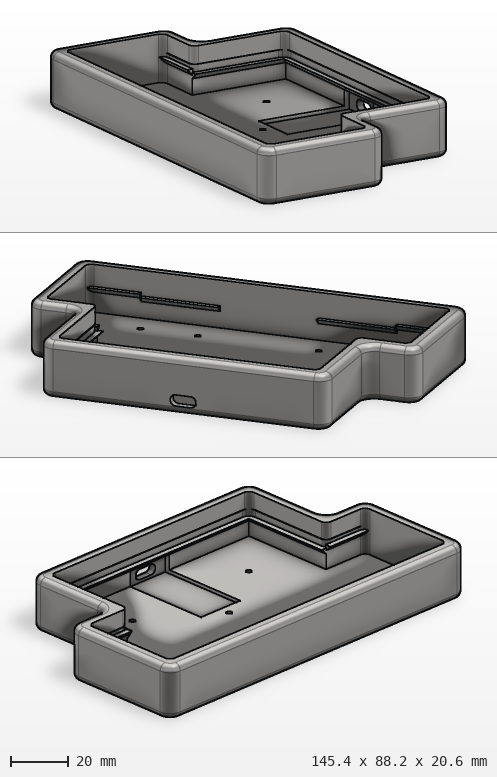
import cadquery as cq

WIDTH = 145.4
DEPTH = 88.2
HEIGHT = 20.6
BACK_WIDTH = 107.1
FRONT_DEPTH = 50.1
CORNER_RADIUS = 5.0
EDGE_RADIUS = 2.5

WALL = 5.0
FLOOR = 3.0
CAVITY_RADIUS = 2.3

LEDGE_WIDTH = 2.2
BACK_LEDGE_TOP = 11.2
FRONT_LEDGE_TOP = 12.5
LEDGE_END_GAP = 0.6
PAD_WIDTH = 2.0
PAD_INNER_X = 18.3
PAD_SPLIT_X = 47.7

GROOVE_DEPTH = 0.2
GROOVE_TOP = 14.0
GROOVE_RADIUS = 3.2

RECESS_WIDTH = 19.2
RECESS_FRONT_Y = 48.3
RECESS_DEPTH = 1.5
RECESS_WALL_DEPTH = 2.0
PLUG_WIDTH = 9.6
PLUG_HEIGHT = 4.0
PLUG_Z = 4.8

HOLE_DIAMETER = 2.2
HOLE_SPOTS = [(0, 44.0), (28.5, 63.1), (22.5, 15.7), (43.9, 15.7)]

CAVITY_X = WIDTH / 2 - WALL
CAVITY_BACK_X = BACK_WIDTH / 2 - WALL
SHOULDER_Y = FRONT_DEPTH - WALL
CAVITY_BACK_Y = DEPTH - WALL


def stepped_block(inset, bottom, top):
    """T-shaped block whose sides lie the given inset inside the outer sides."""
    half_width = WIDTH / 2 - inset
    half_back = BACK_WIDTH / 2 - inset
    shoulder_y = FRONT_DEPTH - inset
    outline = [
        (-half_width, inset),
        (half_width, inset),
        (half_width, shoulder_y),
        (half_back, shoulder_y),
        (half_back, DEPTH - inset),
        (-half_back, DEPTH - inset),
        (-half_back, shoulder_y),
        (-half_width, shoulder_y),
    ]
    return cq.Workplane("XY").workplane(offset=bottom).polyline(outline).close().extrude(top - bottom)


def centered_box(half_width, y_min, y_max, z_min, z_max):
    """Box that is symmetric about the YZ plane."""
    size = (2 * half_width, y_max - y_min, z_max - z_min)
    block = cq.Workplane("XY").box(*size, centered=(True, False, False))
    return block.translate((0, y_min, z_min))


def both_sides(shape):
    return shape.union(shape.mirror("YZ"))


def tray():
    body = stepped_block(0, 0, HEIGHT).edges("|Z").fillet(CORNER_RADIUS)
    body = body.faces("<Z or >Z").edges().fillet(EDGE_RADIUS)
    upper_cavity = stepped_block(WALL, BACK_LEDGE_TOP, HEIGHT).edges("|Z").fillet(CAVITY_RADIUS)
    lower_cavity = stepped_block(WALL, FLOOR, BACK_LEDGE_TOP)
    lower_cavity = lower_cavity.faces("<X or >X").edges("|Z").fillet(CAVITY_RADIUS)
    return body.cut(upper_cavity).cut(lower_cavity)


def board_groove():
    """Clearance cut into the shoulder walls and the walls of the back bay."""
    back_x = CAVITY_BACK_X + GROOVE_DEPTH
    shoulder_y = SHOULDER_Y + GROOVE_DEPTH
    front = centered_box(CAVITY_X, WALL, shoulder_y, BACK_LEDGE_TOP, GROOVE_TOP)
    back = centered_box(back_x, WALL, CAVITY_BACK_Y + GROOVE_DEPTH, BACK_LEDGE_TOP, GROOVE_TOP)
    groove = front.edges("|Z").fillet(GROOVE_RADIUS).union(back.edges("|Z").fillet(GROOVE_RADIUS))
    middle_z = (BACK_LEDGE_TOP + GROOVE_TOP) / 2
    for corner_x in (-back_x, back_x):
        corner = cq.NearestToPointSelector((corner_x, shoulder_y, middle_z))
        groove = groove.edges(corner).fillet(CAVITY_RADIUS - GROOVE_DEPTH)
    return groove


def ledge(start, direction, length, reach, top):
    """Ledge with a 45 degree underside, run along a wall from the start point.

    It projects to the left of the running direction, and its root fills the groove.
    """
    section = [
        (-GROOVE_DEPTH, 0),
        (reach, 0),
        (0, -reach),
        (-GROOVE_DEPTH, -reach),
    ]
    left = (-direction[1], direction[0], 0)
    along = (direction[0], direction[1], 0)
    plane = cq.Plane(origin=(start[0], start[1], top), xDir=left, normal=along)
    return cq.Workplane(plane).polyline(section).close().extrude(length)


def ledges():
    end_x = CAVITY_X - LEDGE_END_GAP
    toward_left = (-1, 0)
    toward_right = (1, 0)
    toward_back = (0, 1)
    shoulder = ledge((end_x, SHOULDER_Y), toward_left, end_x - CAVITY_BACK_X, LEDGE_WIDTH, FRONT_LEDGE_TOP)
    side = ledge(
        (CAVITY_BACK_X, SHOULDER_Y), toward_back, CAVITY_BACK_Y - SHOULDER_Y, LEDGE_WIDTH, BACK_LEDGE_TOP
    )
    outer_pad = ledge((PAD_SPLIT_X, WALL), toward_right, end_x - PAD_SPLIT_X, PAD_WIDTH, FRONT_LEDGE_TOP)
    inner_pad = ledge(
        (PAD_INNER_X, WALL), toward_right, PAD_SPLIT_X - PAD_INNER_X, PAD_WIDTH, BACK_LEDGE_TOP
    )
    back = ledge(
        (CAVITY_BACK_X, CAVITY_BACK_Y), toward_left, 2 * CAVITY_BACK_X, LEDGE_WIDTH, BACK_LEDGE_TOP
    )
    right_half = shoulder.union(side).union(outer_pad).union(inner_pad)
    return both_sides(right_half).union(back)


def plug_recess():
    half_width = RECESS_WIDTH / 2
    recess_bottom = FLOOR - RECESS_DEPTH
    wall_y = CAVITY_BACK_Y + RECESS_WALL_DEPTH
    floor_part = centered_box(half_width, RECESS_FRONT_Y, CAVITY_BACK_Y, recess_bottom, FLOOR)
    wall_part = centered_box(half_width, CAVITY_BACK_Y, wall_y, recess_bottom, BACK_LEDGE_TOP - LEDGE_WIDTH)
    return floor_part.union(wall_part)


def plug_slot():
    slot = cq.Workplane("XZ").slot2D(PLUG_WIDTH, PLUG_HEIGHT).extrude(-WALL)
    return slot.translate((0, CAVITY_BACK_Y, PLUG_Z))


def screw_holes():
    holes = cq.Workplane("XY").pushPoints(HOLE_SPOTS).circle(HOLE_DIAMETER / 2).extrude(FLOOR)
    return both_sides(holes)


result = tray().cut(board_groove()).union(ledges())
result = result.cut(plug_recess()).cut(plug_slot()).cut(screw_holes())